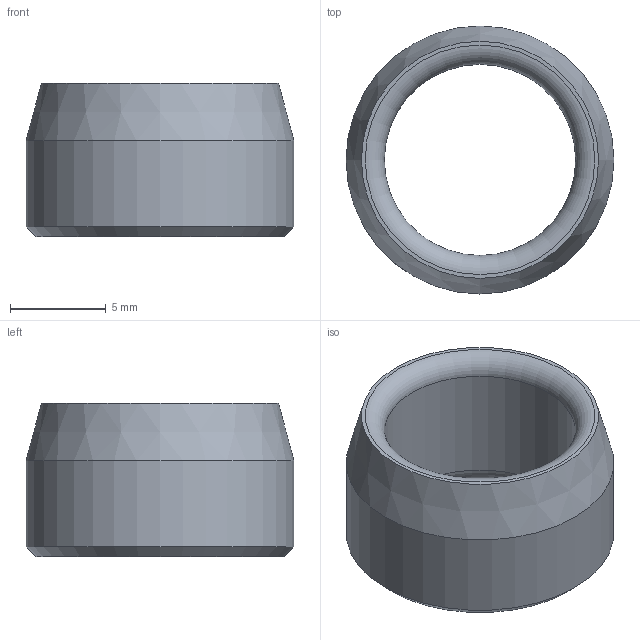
import cadquery as cq
import math

outer_diameter = 14.0
bore_diameter = 10.0
height = 8.0

taper_height = 3.0
taper_angle = 15.0
bottom_chamfer = 0.5
bore_rounding = 1.0

outer_radius = outer_diameter / 2
bore_radius = bore_diameter / 2
taper_start = height - taper_height
top_radius = outer_radius - taper_height * math.tan(math.radians(taper_angle))


def make_body():
    """Solid of revolution: chamfered foot, straight wall and tapered top."""
    outline = (
        cq.Workplane("XZ")
        .lineTo(outer_radius - bottom_chamfer, 0)
        .lineTo(outer_radius, bottom_chamfer)
        .lineTo(outer_radius, taper_start)
        .lineTo(top_radius, height)
        .lineTo(0, height)
        .close()
    )
    return outline.revolve(360, (0, 0, 0), (0, 1, 0))


def cut_bore(body):
    """Through bore with both of its mouths rounded."""
    bore = cq.Workplane("XY").circle(bore_radius).extrude(height)
    smallest_radius = cq.selectors.RadiusNthSelector(0)
    mouth_edges = body.cut(bore).edges("%CIRCLE").edges(smallest_radius)
    return mouth_edges.fillet(bore_rounding)


result = cut_bore(make_body())